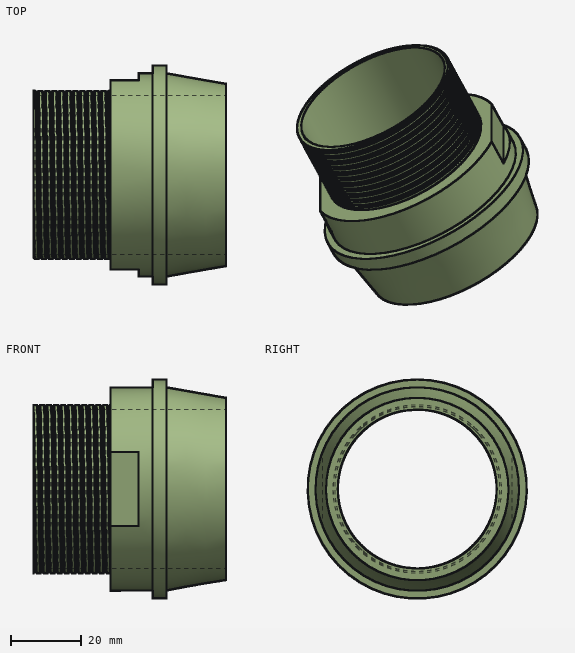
import cadquery as cq

sleeve_length = 22.0
hub_length = 12.0
flange_width = 4.0
overall_length = 55.0
flat_length = 8.0

bore_radius = 22.6
thread_radius = 24.0
hub_radius = 29.0
flange_radius = 31.25
cone_end_radius = 26.0
flat_distance = 27.0

thread_pitch = 2.0
groove_depth = 0.5
groove_mouth = 1.0
groove_root = 0.25
groove_overshoot = 0.2
groove_start = -1.5
thread_turns = 13
blank_extra = 5.0

flange_start = sleeve_length + hub_length
cone_start = flange_start + flange_width


def make_threaded_sleeve():
    """Tube along X, grooved over extra length and then trimmed at both ends."""
    blank = (
        cq.Workplane("XY", origin=(0, 0, -blank_extra))
        .circle(thread_radius)
        .circle(bore_radius)
        .extrude(sleeve_length + 2 * blank_extra)
    )
    trim = cq.Workplane("XY").circle(flange_radius).extrude(sleeve_length)
    helix = cq.Wire.makeHelix(thread_pitch, thread_turns * thread_pitch, thread_radius)
    root_half = groove_root / 2
    mouth_half = groove_mouth / 2
    flank_slope = (mouth_half - root_half) / groove_depth
    outer_half = mouth_half + flank_slope * groove_overshoot
    root_radius = thread_radius - groove_depth
    outer_radius = thread_radius + groove_overshoot
    cutter = (
        cq.Workplane("XZ")
        .polyline([
            (root_radius, -root_half),
            (outer_radius, -outer_half),
            (outer_radius, outer_half),
            (root_radius, root_half),
        ])
        .close()
        .sweep(cq.Workplane(helix), isFrenet=True)
        .translate((0, 0, groove_start))
    )
    return blank.cut(cutter).intersect(trim).rotate((0, 0, 0), (0, 1, 0), 90)


def make_body():
    """Hub, flange and tapered end turned about X, with the bore through them."""
    return (
        cq.Workplane("XZ")
        .polyline([
            (sleeve_length, bore_radius),
            (sleeve_length, hub_radius),
            (flange_start, hub_radius),
            (flange_start, flange_radius),
            (cone_start, flange_radius),
            (cone_start, hub_radius),
            (overall_length, cone_end_radius),
            (overall_length, bore_radius),
        ])
        .close()
        .revolve(360, (0, 0, 0), (1, 0, 0))
    )


def cut_wrench_flats(body):
    """Cut two parallel flats, facing +Y and -Y, at the front of the hub."""
    flat_depth = hub_radius - flat_distance
    for side in (-1, 1):
        cutter = cq.Workplane("XY").box(flat_length, flat_depth, 2 * hub_radius)
        body = body.cut(cutter.translate((
            sleeve_length + flat_length / 2,
            side * (flat_distance + flat_depth / 2),
            0,
        )))
    return body


result = cut_wrench_flats(make_body()).union(make_threaded_sleeve())